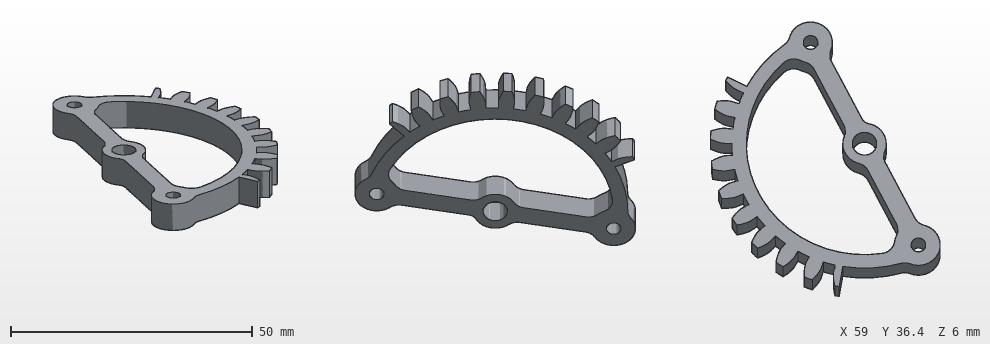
import cadquery as cq
import math

length = 59.0
thickness = 6.0

boss_diameter = 9.0
boss_radius = boss_diameter / 2
boss_spacing = (length - boss_diameter) / 2
bar_width = 4.0
pivot_hole_diameter = 5.0
end_hole_diameter = 3.0
fillet_radius = 3.0
small_fillet_radius = 2.0

tip_radius = 32.0
full_gear_teeth = 30
pressure_angle = math.radians(14.5)
dedendum_factor = 1.25
module = tip_radius / (full_gear_teeth / 2 + 1)
pitch_radius = module * full_gear_teeth / 2
base_radius = pitch_radius * math.cos(pressure_angle)
root_radius = pitch_radius - dedendum_factor * module
tooth_pitch = 360 / full_gear_teeth
teeth_per_side = 5

rim_inner_radius = 24.5
left_end_radius = 5.0

tooth_embed = 0.6
flank_points = 8


def polar(radius, angle):
    """Point at an angle (radians) measured clockwise from +Y."""
    return (radius * math.sin(angle), radius * math.cos(angle))


def involute(radius):
    """Involute roll-off angle at a radius on or outside the base circle."""
    contact_angle = math.acos(base_radius / radius)
    return math.tan(contact_angle) - contact_angle


def cylinder(radius, x):
    return cq.Workplane("XY").center(x, 0).circle(radius).extrude(thickness)


def half_disc(radius):
    """Half disc on the +Y side of the pivot."""
    return (
        cq.Workplane("XY")
        .moveTo(-radius, 0)
        .threePointArc((0, radius), (radius, 0))
        .close()
        .extrude(thickness)
    )


def crossbar():
    return cq.Workplane("XY").rect(2 * boss_spacing, bar_width).extrude(thickness)


def is_small_corner(edge):
    """True for the corner where the pivot boss meets the bar on its +X, -Y side."""
    return 0 < edge.Center().x < boss_radius and edge.Center().y < 0


def is_large_corner(edge):
    """True for every other outer corner; the boss seam at the +X extreme is not one."""
    return edge.Center().x < boss_spacing + boss_radius / 2 and not is_small_corner(edge)


def solid_body():
    """Rim, crossbar and bosses, with the outer concave corners rounded."""
    body = half_disc(root_radius).union(crossbar())
    for x in (-boss_spacing, 0, boss_spacing):
        body = body.union(cylinder(boss_radius, x))
    body = body.edges("|Z").filter(is_large_corner).fillet(fillet_radius)
    return body.edges("|Z").filter(is_small_corner).fillet(small_fillet_radius)


def window():
    """Opening inside the rim, with every corner rounded."""
    opening = half_disc(rim_inner_radius).cut(crossbar()).cut(cylinder(boss_radius, 0))
    opening = opening.cut(cylinder(left_end_radius, -boss_spacing))
    opening = opening.cut(cylinder(boss_radius, boss_spacing))
    return opening.edges("|Z").fillet(fillet_radius)


def tooth(half_only=False):
    """Tooth pointing along +Y: involute flanks, radial below the base circle.

    With half_only, just the half on the -X side of its centre plane.
    """
    base_angle = math.pi / full_gear_teeth / 2 + involute(pitch_radius)
    tip_angle = base_angle - involute(tip_radius)
    foot_radius = root_radius - tooth_embed
    step = (tip_radius - base_radius) / flank_points
    radii = [base_radius + step * i for i in range(flank_points + 1)]
    flank = [polar(radius, involute(radius) - base_angle) for radius in radii]

    profile = (
        cq.Workplane("XY")
        .moveTo(*polar(foot_radius, -base_angle))
        .lineTo(*flank[0])
        .spline(flank[1:], includeCurrent=True)
    )
    if half_only:
        profile = profile.threePointArc(polar(tip_radius, -tip_angle / 2), (0, tip_radius))
        profile = profile.lineTo(0, foot_radius)
    else:
        opposite_flank = [(-x, y) for x, y in reversed(flank)]
        profile = profile.threePointArc((0, tip_radius), opposite_flank[0])
        profile = profile.spline(opposite_flank[1:], includeCurrent=True)
        profile = profile.lineTo(*polar(foot_radius, base_angle))
    return profile.close().extrude(thickness)


def add_teeth(body):
    """Mirrored rows of teeth; the last one on each side is cut down its centre."""
    for i in range(teeth_per_side):
        is_last = i == teeth_per_side - 1
        angle = tooth_pitch * (i + 0.5)
        right_tooth = tooth(is_last).rotate((0, 0, 0), (0, 0, 1), -angle)
        body = body.union(right_tooth).union(right_tooth.mirror("YZ"))
    return body


result = add_teeth(solid_body().cut(window()))
result = result.cut(cylinder(pivot_hole_diameter / 2, 0))
for hole_x in (-boss_spacing, boss_spacing):
    result = result.cut(cylinder(end_hole_diameter / 2, hole_x))